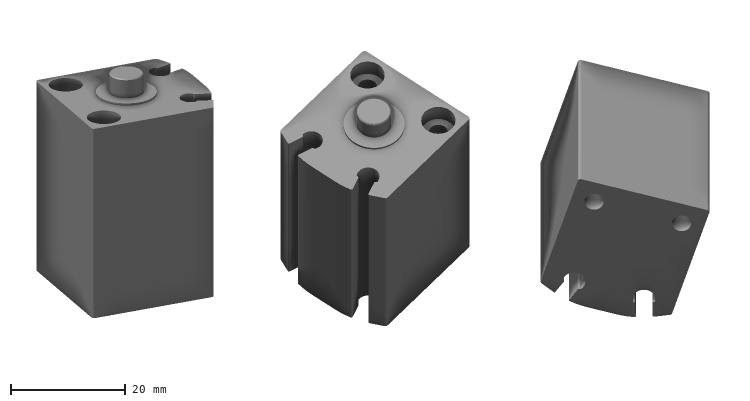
import cadquery as cq
import math

width = 24.0
front_y = -12.0
back_y = 14.0
housing_height = 36.0
front_corner_radius = 0.5

shoulder_angle = 25.0
shoulder_start_x = 6.15
shoulder_blend_radius = 16.0
side_corner_radius = 0.5

groove_x = 6.4
groove_y = 9.5
groove_diameter = 4.0
groove_tilt = 17.5
neck_width = 2.95
neck_length = 6.4
lip_height = 0.6
lip_radius = 0.35
mouth_radius = 0.2
mouth_center_x = 7.5
mouth_center_y = 13.1

mount_x = 8.0
mount_y = -8.0
mount_diameter = 3.4
counterbore_diameter = 6.0
counterbore_depth = 3.4

collar_diameter = 10.7
collar_height = 0.4
rod_diameter = 6.0
rod_top = 40.0
rod_chamfer = 0.2
rod_insertion = 18.0
rod_bottom = housing_height - rod_insertion


def vertical_edges_at(x, y, reach=0.05):
    """Selector for the vertical edges within reach of a mirrored pair of points."""
    boxes = [
        cq.selectors.BoxSelector(
            (side * x - reach, y - reach, -reach),
            (side * x + reach, y + reach, housing_height + reach),
        )
        for side in (-1, 1)
    ]
    return boxes[0] + boxes[1]


def make_block():
    half_width = width / 2
    shoulder_end_y = back_y - (half_width - shoulder_start_x) * math.tan(math.radians(shoulder_angle))
    block = (
        cq.Workplane("XY")
        .polyline([
            (-half_width, front_y),
            (half_width, front_y),
            (half_width, shoulder_end_y),
            (shoulder_start_x, back_y),
            (-shoulder_start_x, back_y),
            (-half_width, shoulder_end_y),
        ])
        .close()
        .extrude(housing_height)
    )
    block = block.edges(vertical_edges_at(shoulder_start_x, back_y)).fillet(shoulder_blend_radius)
    block = block.edges(vertical_edges_at(half_width, shoulder_end_y)).fillet(side_corner_radius)
    return block.edges(vertical_edges_at(half_width, front_y)).fillet(front_corner_radius)


def make_groove_cutter(side):
    """Groove on the left (side = -1) or right (side = 1), tilted outward."""
    radius = groove_diameter / 2
    half_neck = neck_width / 2
    lip_x = math.sqrt(radius**2 - lip_height**2)
    neck_start = lip_height + lip_radius
    arc_offset = lip_radius * (1 - math.sqrt(0.5))
    profile = (
        cq.Workplane("XY")
        .moveTo(-lip_x, lip_height)
        .threePointArc((0, -radius), (lip_x, lip_height))
        .lineTo(half_neck + lip_radius, lip_height)
        .threePointArc((half_neck + arc_offset, lip_height + arc_offset), (half_neck, neck_start))
        .lineTo(half_neck, neck_length)
        .lineTo(-half_neck, neck_length)
        .lineTo(-half_neck, neck_start)
        .threePointArc((-half_neck - arc_offset, lip_height + arc_offset), (-half_neck - lip_radius, lip_height))
        .close()
    )
    return (
        profile.extrude(housing_height)
        .rotate((0, 0, 0), (0, 0, 1), -side * groove_tilt)
        .translate((side * groove_x, groove_y, 0))
    )


def make_housing():
    housing = make_block()
    for side in (-1, 1):
        housing = housing.cut(make_groove_cutter(side))
    mouth_edges = vertical_edges_at(mouth_center_x, mouth_center_y, reach=neck_width / 2 + mouth_radius)
    housing = housing.edges("|Z").edges(mouth_edges).fillet(mouth_radius)
    housing = (
        housing.faces(">Z").workplane(origin=(0, 0, housing_height))
        .pushPoints([(-mount_x, mount_y), (mount_x, mount_y)])
        .cboreHole(mount_diameter, counterbore_diameter, counterbore_depth)
    )
    collar = (
        cq.Workplane("XY", origin=(0, 0, housing_height))
        .circle(collar_diameter / 2)
        .extrude(collar_height)
    )
    rod_bore = (
        cq.Workplane("XY", origin=(0, 0, rod_bottom))
        .circle(rod_diameter / 2)
        .extrude(rod_insertion + collar_height)
    )
    return housing.union(collar).cut(rod_bore)


def make_rod():
    return (
        cq.Workplane("XY", origin=(0, 0, rod_bottom))
        .circle(rod_diameter / 2)
        .extrude(rod_top - rod_bottom)
        .faces(">Z")
        .chamfer(rod_chamfer)
    )


housing = make_housing()
rod = make_rod()

result = cq.Compound.makeCompound([housing.solids().val(), rod.solids().val()])